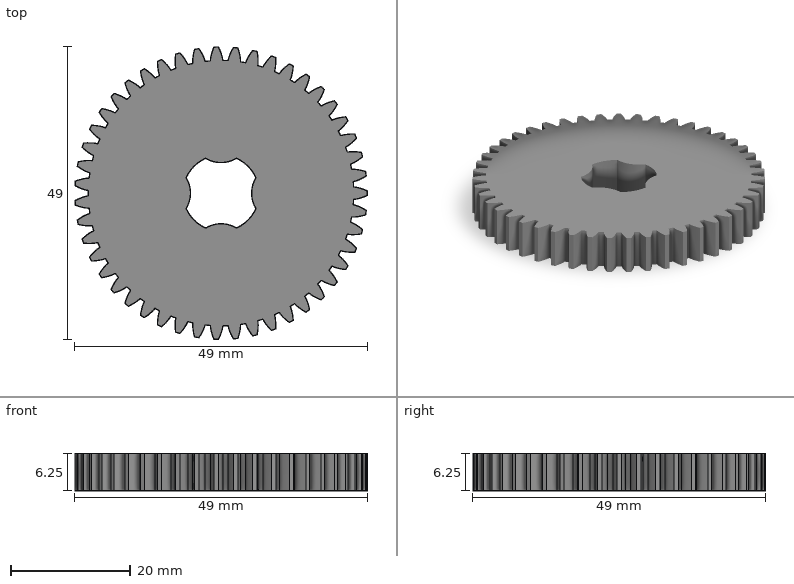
import cadquery as cq
import math

thickness = 6.25
tip_diameter = 49.0
tooth_count = 47
pressure_angle = math.radians(20)
dedendum_factor = 1.25
bore_radius = 6.35
lobe_clearance = 5.1
lobe_radius = 4.9
lobe_count = 4
flank_point_count = 6

module = tip_diameter / (tooth_count + 2)
pitch_radius = module * tooth_count / 2
tip_radius = tip_diameter / 2
root_radius = pitch_radius - dedendum_factor * module
base_radius = pitch_radius * math.cos(pressure_angle)
tooth_pitch = 2 * math.pi / tooth_count


def polar(radius, angle):
    return (radius * math.cos(angle), radius * math.sin(angle))


def involute_angle(radius):
    """Angle the involute has turned from the base circle when it reaches radius."""
    roll = math.acos(base_radius / radius)
    return math.tan(roll) - roll


def half_tooth_angle(radius):
    """Half the angle covered by a tooth at radius; it is half a gap wide at the pitch circle."""
    return tooth_pitch / 4 + involute_angle(pitch_radius) - involute_angle(radius)


def gear_blank():
    """Extruded gear outline with one tooth centred on +X."""
    radius_step = (tip_radius - root_radius) / (flank_point_count - 1)
    flank_radii = [root_radius + i * radius_step for i in range(flank_point_count)]
    root_half_angle = half_tooth_angle(root_radius)
    outline = cq.Workplane("XY").moveTo(*polar(root_radius, -root_half_angle))
    for tooth in range(tooth_count):
        centre = tooth * tooth_pitch
        rising = [polar(r, centre - half_tooth_angle(r)) for r in flank_radii]
        falling = [polar(r, centre + half_tooth_angle(r)) for r in reversed(flank_radii)]
        gap_middle = polar(root_radius, centre + tooth_pitch / 2)
        next_root = polar(root_radius, centre + tooth_pitch - root_half_angle)
        outline = outline.spline(rising[1:], includeCurrent=True)
        outline = outline.threePointArc(polar(tip_radius, centre), falling[0])
        outline = outline.spline(falling[1:], includeCurrent=True)
        outline = outline.threePointArc(gap_middle, next_root)
    return outline.close().extrude(thickness)


def lobed_bore():
    """Round through bore narrowed by convex lobes spaced evenly about the axis."""
    lobes = (
        cq.Workplane("XY")
        .polarArray(lobe_clearance + lobe_radius, 0, 360, lobe_count)
        .circle(lobe_radius)
        .extrude(thickness)
    )
    return cq.Workplane("XY").circle(bore_radius).extrude(thickness).cut(lobes)


result = gear_blank().cut(lobed_bore())